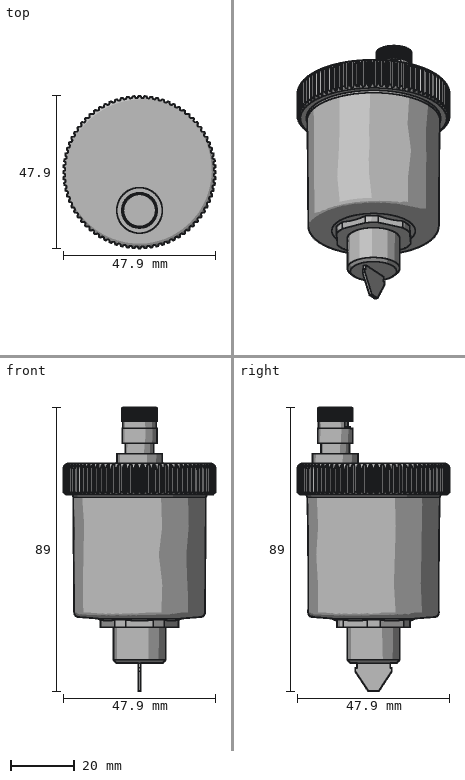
import cadquery as cq
import math

spigot_radius = 8.25
spigot_length = 11.25
spigot_chamfer = 1.0
hex_across_flats = 23.0
hex_corner_radius = 12.27

dish_bottom_radius = 11.4
dish_bottom_z = 1.9
dish_step_radius = 13.1
dish_step_z = 2.7
dish_rim_z = 3.28
housing_bottom_radius = 20.55
housing_top_radius = 20.85
housing_corner_fillet = 1.5
housing_lip_radius = 21.1
housing_lip_height = 0.7

lid_bottom_z = 41.5
lid_height = 10.0
lid_radius = 23.95
lid_top_fillet = 2.0
lid_bottom_chamfer = 1.0
lid_groove_count = 80
lid_groove_depth = 0.6
lid_groove_mouth = 1.35
lid_groove_floor = 0.55

vent_y = -12.0
collar_radius = 7.15
collar_height = 3.0
collar_fillet = 0.2

stem_radius = 4.5
stem_length = 3.2
valve_radius = 5.5
valve_length = 4.7
neck_radius = 5.3
neck_length = 2.15
outlet_side_offset = 3.0
outlet_radius = 4.0
outlet_step_radius = 4.75
outlet_step_height = 0.5

cap_radius = 5.55
cap_top_z = 69.0
cap_chamfer_height = 0.3
cap_chamfer_width = 0.5
cap_groove_count = 34
cap_groove_depth = 0.35
cap_groove_mouth = 0.55

blade_thickness = 0.9
blade_neck_width = 10.5
blade_neck_length = 1.5
blade_shoulder_width = 11.5
blade_shoulder_length = 1.1
blade_tip_width = 3.4
blade_tip_z = -20.0

spigot_bottom_z = -spigot_length
lid_top_z = lid_bottom_z + lid_height
collar_top_z = lid_top_z + collar_height
valve_bottom_z = collar_top_z + stem_length
neck_bottom_z = valve_bottom_z + valve_length
cap_bottom_z = neck_bottom_z + neck_length


def cylinder(radius, bottom_z, top_z, y=0):
    return cq.Workplane("XY", origin=(0, y, bottom_z)).circle(radius).extrude(top_z - bottom_z)


def ring_of_grooves(outline, count, start_angle, bottom_z, top_z):
    """Upright grooves of one cross-section, evenly spaced around the axis from start_angle."""
    groove = cq.Workplane("XY", origin=(0, 0, bottom_z)).polyline(outline).close().extrude(top_z - bottom_z)
    pitch = 360 / count
    axis_start, axis_end = (0, 0, 0), (0, 0, 1)
    copies = [groove.rotate(axis_start, axis_end, start_angle + pitch * i).val() for i in range(count)]
    return cq.Workplane(cq.Compound.makeCompound(copies))


def make_housing():
    """Tapered cup with a dished bottom, a hexagon and a threaded spigot, as one solid."""
    edge_reach = 2 * housing_bottom_radius
    housing_bottom_edge = cq.selectors.BoxSelector(
        (-edge_reach, -edge_reach, dish_rim_z - housing_corner_fillet / 4),
        (edge_reach, edge_reach, dish_rim_z + housing_corner_fillet / 4),
        boundingbox=True,
    )
    cup = (
        cq.Workplane("XZ")
        .moveTo(0, dish_bottom_z)
        .lineTo(dish_bottom_radius, dish_bottom_z)
        .lineTo(dish_step_radius, dish_step_z)
        .lineTo(housing_bottom_radius, dish_rim_z)
        .lineTo(housing_top_radius, lid_bottom_z - housing_lip_height)
        .lineTo(housing_lip_radius, lid_bottom_z)
        .lineTo(0, lid_bottom_z)
        .close()
        .revolve(360, (0, 0, 0), (0, 1, 0))
        .edges(housing_bottom_edge)
        .fillet(housing_corner_fillet)
    )
    hex_diameter = hex_across_flats / math.cos(math.radians(30))
    hexagon = cq.Workplane("XY").polygon(6, hex_diameter).extrude(dish_rim_z)
    hexagon = hexagon.intersect(cylinder(hex_corner_radius, 0, dish_rim_z))
    spigot = cylinder(spigot_radius, spigot_bottom_z, 0).faces("<Z").chamfer(spigot_chamfer)
    return cup.union(hexagon).union(spigot)


def make_lid():
    """Grooved lid with the collar that carries the vent valve."""
    disc = cylinder(lid_radius, lid_bottom_z, lid_top_z)
    disc = disc.faces(">Z").edges().fillet(lid_top_fillet)
    disc = disc.faces("<Z").chamfer(lid_bottom_chamfer)
    half_floor = lid_groove_floor / 2
    half_mouth = lid_groove_mouth / 2
    groove_outline = [
        (lid_radius - lid_groove_depth, -half_floor),
        (lid_radius, -half_mouth),
        (lid_radius + lid_groove_depth, -half_mouth),
        (lid_radius + lid_groove_depth, half_mouth),
        (lid_radius, half_mouth),
        (lid_radius - lid_groove_depth, half_floor),
    ]
    half_pitch = 180 / lid_groove_count
    grooves = ring_of_grooves(groove_outline, lid_groove_count, half_pitch, lid_bottom_z, lid_top_z)
    collar = cylinder(collar_radius, lid_top_z, collar_top_z, vent_y)
    lid = disc.cut(grooves).union(collar)
    collar_foot = cq.selectors.BoxSelector(
        (-collar_radius, vent_y - collar_radius, lid_top_z - collar_fillet),
        (collar_radius, vent_y + collar_radius, lid_top_z + collar_fillet),
        boundingbox=False,
    )
    return lid.edges("%CIRCLE").edges(collar_foot).fillet(collar_fillet)


def make_valve():
    """Stem, body and neck in line, with a stepped air outlet recessed into the +Y side of the neck."""
    stem = cylinder(stem_radius, collar_top_z, valve_bottom_z, vent_y)
    body = cylinder(valve_radius, valve_bottom_z, neck_bottom_z, vent_y)
    neck = cylinder(neck_radius, neck_bottom_z, cap_bottom_z, vent_y)
    step_z = neck_bottom_z + outlet_step_height
    outlet = (
        cq.Workplane("XY", origin=(0, vent_y + outlet_side_offset, neck_bottom_z))
        .rect(2 * valve_radius, valve_radius, centered=(True, False))
        .extrude(neck_length)
        .cut(cylinder(outlet_radius, neck_bottom_z, cap_bottom_z, vent_y))
        .cut(cylinder(outlet_step_radius, neck_bottom_z, step_z, vent_y))
    )
    neck = neck.cut(outlet)
    return stem.union(body).union(neck)


def make_cap():
    """Knurled cap closing the vent valve."""
    cap = cylinder(cap_radius, cap_bottom_z, cap_top_z)
    cap = cap.faces(">Z").chamfer(cap_chamfer_height, cap_chamfer_width)
    half_mouth = cap_groove_mouth / 2
    groove_outline = [
        (cap_radius - cap_groove_depth, 0),
        (cap_radius, -half_mouth),
        (cap_radius + cap_groove_depth, -half_mouth),
        (cap_radius + cap_groove_depth, half_mouth),
        (cap_radius, half_mouth),
    ]
    grooves = ring_of_grooves(groove_outline, cap_groove_count, 0, cap_bottom_z, cap_top_z)
    return cap.cut(grooves).translate((0, vent_y, 0))


def make_blade():
    """Thin arrow-shaped blade hanging from the spigot, flat across X."""
    shoulder_z = spigot_bottom_z - blade_neck_length
    taper_z = shoulder_z - blade_shoulder_length
    right_side = [
        (blade_neck_width / 2, spigot_bottom_z),
        (blade_neck_width / 2, shoulder_z),
        (blade_shoulder_width / 2, shoulder_z),
        (blade_shoulder_width / 2, taper_z),
        (blade_tip_width / 2, blade_tip_z),
    ]
    left_side = [(-y, z) for y, z in reversed(right_side)]
    outline = cq.Workplane("YZ").polyline(right_side + left_side).close()
    return outline.extrude(blade_thickness / 2, both=True)


housing = make_housing()
lid = make_lid()
valve = make_valve()
cap = make_cap()
blade = make_blade()

result = cq.Compound.makeCompound([housing.val(), lid.val(), valve.val(), cap.val(), blade.val()])